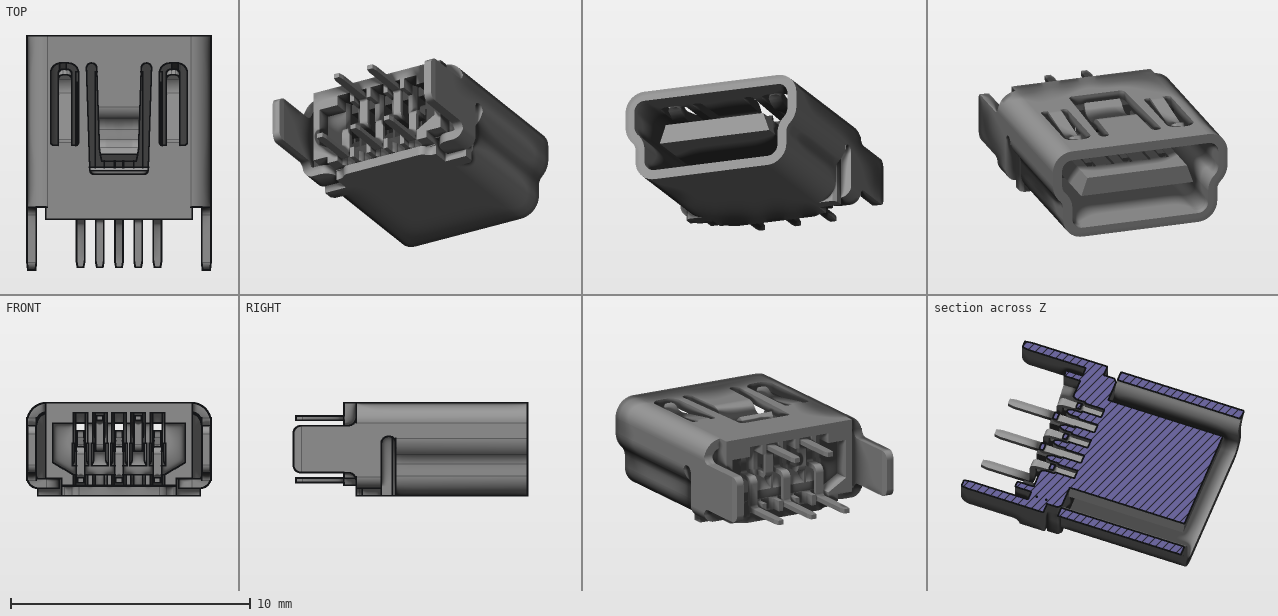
import cadquery as cq
import math


half_width = 3.85
height = 3.9
wall = 0.4
top_radius = 0.84
lower_half_width = 3.4
lower_radius = 0.85
step_bottom = 1.35
step_middle = 1.73
step_top = 2.42
shell_front_end = 5.51
shell_end = 7.17
flange_bottom = 0.31
flange_radius = 0.49
flange_inner = 2.5
flange_corner = 0.55
notch_end = 6.12
notch_top = 2.49
notch_radius = 0.29

lip_half_width = 2.39
lip_shoulder = 2.28
lip_tip_half_width = 1.69
lip_shoulder_depth = 6.91

blade_end = 9.8
blade_bottom = 0.97
blade_top = 2.94
blade_tip_radius = 0.33
blade_root_radius = 0.32
blade_tip_inset = 0.04
blade_tip_start = blade_end - blade_tip_radius

latch_cut_root = 1.36
latch_cut_end = 5.8
latch_cut_root_half = 1.36
latch_cut_end_half = 1.22
latch_cut_corner = 0.2
latch_root_half = 0.93
latch_tip_half = 0.81
latch_tip_end_half = 0.72
latch_tip_start = 4.8
latch_tip = 5.29
latch_dip = 0.44
latch_fall_start = 3.16
latch_fall_end = 3.55
latch_rise_start = 4.62
latch_rise_end = 5.11
latch_tip_rise = 0.5
latch_bend_radii = [0.22, 0.62, 0.49]

window_inner = 1.69
window_outer = 2.86
window_front = 1.15
window_end = 4.59
window_front_radius = 0.44
window_end_radius = 0.15
finger_inner = 1.98
finger_outer = 2.54
finger_tip_centre = 1.53
finger_valley = 2.03
finger_root = 4.41
finger_dip = 0.34
finger_tip_rise = 0.35
finger_bend_radii = [0.78, 0.39]
finger_tip_radius = 0.2

housing_front = shell_front_end
housing_end = 7.68
housing_half_width = 3.07
housing_shoulder = 0.74
housing_bottom = 0.44
lead_in = 0.15
housing_corner_gap = 0.1
recess_depth = 0.73
recess_half_width = 2.77
recess_top = 3.05
recess_side_bottom = 1.4
recess_floor = 0.89
recess_floor_half = 1.91
recess_back = housing_end - recess_depth

tongue_top_half_width = 2.2
tongue_bottom_half_width = 2.47
tongue_front = 0.39
tongue_bottom = 1.67
tongue_top = 2.45
groove_front = 1.52
groove_floor = 2.3

contact_count = 5
contact_pitch = 0.8
contact_width = 0.35
beam_width = 0.29
leg_depth = 7.3
lower_leg_depth = 7.4
beam_tip = 1.96
beam_tip_z = 2.37
beam_rise_top = 6.53
beam_rise_bottom = 6.57
beam_peak_z = 2.65
contact_thickness = 0.2
pin_end = 9.69
pin_taper_start = 9.42
pin_tip_half = 0.13
lower_pin_z = 0.66
upper_pin_z = 3.25
contact_shelf = 1.86
bend_radius = 0.1
channel_width = 0.61
channel_top = 3.48
channel_depth = 6.66
passage_width = 0.38
pocket_front_width = 0.51
pocket_width = 0.71
pocket_floor = 1.26
pocket_top = 2.205
pocket_depth = 6.37
foot_front = 7.01
foot_slope_start = 7.25
channel_slope_length = 0.2


def block(x0, x1, depth0, depth1, z0, z1):
    """Box between two X values, two depths and two heights."""
    size = (x1 - x0, depth1 - depth0, z1 - z0)
    return cq.Workplane("XY").box(*size, centered=False).translate((x0, -depth1, z0))


def section(depth):
    """Workplane in XZ at a given depth; extruding goes deeper."""
    return cq.Workplane("XZ", origin=(0, -depth, 0))


def side_profile(points, x0, x1):
    """Closed (depth, z) outline extruded from x0 to x1."""
    outline = [(-depth, z) for depth, z in points]
    return cq.Workplane("YZ", origin=(x0, 0, 0)).polyline(outline).close().extrude(x1 - x0)


def plan(points, z0, z1):
    """Closed (x, depth) outline extruded from z0 to z1."""
    outline = [(x, -depth) for x, depth in points]
    return cq.Workplane("XY", origin=(0, 0, z0)).polyline(outline).close().extrude(z1 - z0)


def mirrored_pair(solid):
    return solid.union(solid.mirror("YZ"))


def symmetric(half):
    """Complete an outline from its +X half."""
    return half + [(-x, v) for x, v in reversed(half)]


def bent_strip(path, thickness, radii, x0, x1):
    """Sheet strip whose centre line is a (depth, z) path, with one inner radius for each bend."""
    directions = []
    for (d0, z0), (d1, z1) in zip(path, path[1:]):
        directions.append(math.atan2(z1 - z0, d1 - d0))
    left, right = [], []
    for i, (depth, z) in enumerate(path):
        before = directions[max(i - 1, 0)]
        after = directions[min(i, len(directions) - 1)]
        normal = (before + after) / 2 + math.pi / 2
        reach = thickness / 2 / math.cos((after - before) / 2)
        dx, dz = reach * math.cos(normal), reach * math.sin(normal)
        left.append((depth + dx, z + dz))
        right.append((depth - dx, z - dz))
    strip = side_profile(left + right[::-1], x0, x1)
    for i, radius in enumerate(radii, start=1):
        turns_left = directions[i] > directions[i - 1]
        inner, outer = (left[i], right[i]) if turns_left else (right[i], left[i])
        for (depth, z), bend in ((inner, radius), (outer, radius + thickness)):
            corner = ((x0 + x1) / 2, -depth, z)
            strip = strip.edges("|X").edges(cq.NearestToPointSelector(corner)).fillet(bend)
    return strip


def mouth_half_outline():
    """Right half of the stepped mouth, from bottom centre to top centre."""
    step_angle = 2 * math.atan((half_width - lower_half_width) / (step_top - step_bottom))
    concave = (step_middle - step_bottom) / math.sin(step_angle)
    convex = (step_top - step_middle) / math.sin(step_angle)
    half = step_angle / 2
    flat_x = half_width - top_radius
    corner = math.sqrt(0.5)
    concave_mid = (lower_half_width + concave * (1 - math.cos(half)), step_bottom + concave * math.sin(half))
    convex_mid = (half_width - convex * (1 - math.cos(half)), step_top - convex * math.sin(half))
    step_join = lower_half_width + concave * (1 - math.cos(step_angle))
    low_x = lower_half_width - lower_radius
    return (
        section(0).moveTo(0, 0).lineTo(low_x, 0)
        .threePointArc((low_x + lower_radius * corner, lower_radius * (1 - corner)),
                       (lower_half_width, lower_radius))
        .lineTo(lower_half_width, step_bottom)
        .threePointArc(concave_mid, (step_join, step_middle))
        .threePointArc(convex_mid, (half_width, step_top))
        .lineTo(half_width, height - top_radius)
        .threePointArc((flat_x + top_radius * corner, height - top_radius * (1 - corner)), (flat_x, height))
        .lineTo(0, height)
    )


def make_mouth():
    """Hollow stepped tube that receives the plug."""
    outer = mouth_half_outline().mirrorY().extrude(shell_front_end)
    cavity = mouth_half_outline().mirrorY().offset2D(-wall).extrude(shell_front_end)
    return outer.cut(cavity)


def hood_solid(inset):
    """Rounded hood body behind the mouth, shrunk by inset on every side."""
    body = block(-half_width + inset, half_width - inset, shell_front_end, shell_end,
                 flange_bottom + inset, height - inset)
    body = body.edges("|Y and >Z").fillet(top_radius - inset)
    return body.edges("|Y and <Z").fillet(flange_radius - inset)


def make_hood():
    hood = hood_solid(0).cut(hood_solid(wall))
    opening = block(-flange_inner, flange_inner, shell_front_end, shell_end, 0, flange_bottom + wall)
    hood = hood.cut(opening)
    for x in (-flange_inner, flange_inner):
        rear_corner = cq.NearestToPointSelector((x, -shell_end, flange_bottom + wall / 2))
        hood = hood.edges("|Z").edges(rear_corner).fillet(flange_corner)
    notch = block(-half_width, half_width, shell_front_end, notch_end, 0, notch_top)
    return hood.cut(notch.edges("|X and >Z").fillet(notch_radius))


def make_roof_tail():
    return block(-housing_half_width, housing_half_width, shell_end, housing_end, height - wall, height)


def make_lip():
    """Bottom plate whose rear corners step in along S curves."""
    mid_x = (lip_shoulder + lip_tip_half_width) / 2
    mid_depth = (lip_shoulder_depth + shell_end) / 2
    lip = (
        cq.Workplane("XY").moveTo(0, -shell_front_end).lineTo(lip_half_width, -shell_front_end)
        .lineTo(lip_half_width, -lip_shoulder_depth).lineTo(lip_shoulder, -lip_shoulder_depth)
        .tangentArcPoint((mid_x, -mid_depth), relative=False)
        .tangentArcPoint((lip_tip_half_width, -shell_end), relative=False)
        .lineTo(0, -shell_end).close().extrude(wall)
    )
    return mirrored_pair(lip)


def make_blade():
    inner = half_width - wall
    outline = plan([
        (inner, notch_end), (half_width, notch_end), (half_width, blade_tip_start),
        (half_width - blade_tip_inset, blade_end), (inner + blade_tip_inset, blade_end),
        (inner, blade_tip_start),
    ], blade_bottom, blade_top)
    blade = outline.intersect(
        block(inner, half_width, notch_end, blade_end, blade_bottom, blade_top)
        .edges("|X and <Y").fillet(blade_tip_radius))
    for z, side in ((blade_top, 1), (blade_bottom, -1)):
        z_far = z + side * blade_root_radius
        web = block(inner, half_width, shell_end, shell_end + blade_root_radius, min(z, z_far), max(z, z_far))
        round_cut = (
            cq.Workplane("YZ", origin=(inner, -shell_end - blade_root_radius, z_far))
            .circle(blade_root_radius).extrude(wall))
        blade = blade.union(web.cut(round_cut))
    return mirrored_pair(blade)


def latch_cutout():
    cutout = plan(symmetric([(latch_cut_root_half, latch_cut_root), (latch_cut_end_half, latch_cut_end)]),
                  height - wall, height)
    cutout = cutout.edges("|Z and <Y").fillet(latch_cut_corner)
    radius = (latch_cut_root_half - latch_root_half) / 2
    centre = latch_cut_root_half - radius
    ends = (
        cq.Workplane("XY", origin=(0, 0, height - wall))
        .pushPoints([(-centre, -latch_cut_root), (centre, -latch_cut_root)]).circle(radius).extrude(wall))
    return cutout.union(ends)


def make_latch():
    top = height - wall / 2
    low = top - latch_dip
    path = [
        (latch_cut_root, top), (latch_fall_start, top), (latch_fall_end, low),
        (latch_rise_start, low), (latch_rise_end, low + latch_tip_rise),
    ]
    strip = bent_strip(path, wall, latch_bend_radii, -latch_root_half, latch_root_half)
    outline = plan(symmetric([
        (latch_root_half, latch_cut_root), (latch_tip_half, latch_tip_start), (latch_tip_end_half, latch_tip),
    ]), 0, height)
    return strip.intersect(outline)


def side_windows():
    window = block(window_inner, window_outer, window_front, window_end, height - wall, height)
    window = window.edges("|Z and >Y").fillet(window_front_radius)
    return mirrored_pair(window.edges("|Z and <Y").fillet(window_end_radius))


def make_fingers():
    top = height - wall / 2
    valley = top - finger_dip
    tip = valley + finger_tip_rise
    path = [(finger_tip_centre, tip), (finger_valley, valley), (finger_root, top), (window_end, top)]
    finger = bent_strip(path, wall, finger_bend_radii, finger_inner, finger_outer)
    for x in (finger_inner, finger_outer):
        tip_corner = cq.NearestToPointSelector((x, -finger_tip_centre, tip))
        finger = finger.edges(tip_corner).fillet(finger_tip_radius)
    return mirrored_pair(finger)


def make_housing():
    inner_top = height - wall
    corner = top_radius - wall + housing_corner_gap
    nose = block(-lower_half_width, lower_half_width, housing_front, notch_end, 0, inner_top)
    nose = nose.edges("|Y and >Z").fillet(corner)
    nose = nose.faces(">Y").edges("not <Z").chamfer(lead_in)
    core_half = half_width - wall
    core = block(-core_half, core_half, notch_end, recess_back, flange_bottom + wall, inner_top)
    core = core.edges("|Y and >Z").fillet(corner)
    rear = section(notch_end).polyline(symmetric([
        (lip_half_width, housing_bottom), (lip_half_width, housing_shoulder),
        (housing_half_width, housing_shoulder), (housing_half_width, inner_top),
    ])).close().extrude(housing_end - notch_end)
    sill = block(-lip_half_width, lip_half_width, notch_end, recess_back, wall, housing_bottom)
    recess = section(recess_back).polyline(symmetric([
        (recess_floor_half, recess_floor), (recess_half_width, recess_side_bottom),
        (recess_half_width, recess_top),
    ])).close().extrude(recess_depth)
    tongue = section(tongue_front).polyline(symmetric([
        (tongue_bottom_half_width, tongue_bottom), (tongue_top_half_width, tongue_top),
    ])).close().extrude(housing_front - tongue_front)
    return nose.union(core).union(rear).union(sill).cut(recess).union(tongue)


def stepped_channel(x, rear_width, front_width, limits, z0, z1):
    """Channel about x whose walls slope in where the wide rear meets the narrow front.

    The limits are the depths of the front end, the start of the slope and the rear end.
    """
    front_end, slope_start, rear_end = limits
    rear, front = rear_width / 2, front_width / 2
    slope_end = slope_start - channel_slope_length
    return plan(symmetric([
        (front, front_end), (front, slope_end), (rear, slope_start), (rear, rear_end),
    ]), z0, z1).translate((x, 0, 0))


def contact_channel(x):
    """All the openings that one contact needs in the housing."""
    notch = stepped_channel(x, channel_width, passage_width, (channel_depth, recess_back, housing_end),
                            contact_shelf, channel_top)
    foot = stepped_channel(x, channel_width, passage_width, (foot_front, foot_slope_start, housing_end),
                           housing_bottom, recess_floor)
    half = passage_width / 2
    passage = block(x - half, x + half, housing_front, recess_back, contact_shelf, recess_top)
    groove = block(x - half, x + half, groove_front, housing_front, groove_floor, tongue_top)
    pocket = side_profile([
        (recess_back, pocket_floor), (recess_back, pocket_top),
        (pocket_depth, pocket_top), (pocket_depth, contact_shelf),
    ], x - pocket_width / 2, x + pocket_width / 2)
    pocket = pocket.intersect(stepped_channel(
        x, pocket_width, pocket_front_width, (pocket_depth, recess_back, housing_end), 0, height))
    return notch.union(passage).union(groove).union(pocket).union(foot)


def make_contact(x, path):
    """Bent contact about x, narrow ahead of its leg and tapered at the pin tip."""
    half = contact_width / 2
    beam = beam_width / 2
    radii = [bend_radius] * (len(path) - 2)
    strip = bent_strip(path, contact_thickness, radii, -half, half)
    outline = plan(symmetric([
        (beam, 0), (beam, recess_back), (half, leg_depth), (half, pin_taper_start), (pin_tip_half, pin_end),
    ]), 0, height)
    return strip.intersect(outline).translate((x, 0, 0))


shelf_z = contact_shelf + contact_thickness / 2
lower_path = [
    (beam_tip, beam_tip_z), (beam_rise_top, beam_peak_z), (beam_rise_bottom, shelf_z),
    (lower_leg_depth, shelf_z), (lower_leg_depth, lower_pin_z), (pin_end, lower_pin_z),
]
upper_path = [
    (housing_front, shelf_z), (leg_depth, shelf_z),
    (leg_depth, upper_pin_z), (pin_end, upper_pin_z),
]

shell = make_mouth().union(make_hood()).union(make_roof_tail()).union(make_lip()).union(make_blade())
shell = shell.cut(latch_cutout()).cut(side_windows()).union(make_latch()).union(make_fingers())

housing = make_housing()
contacts = []
for index in range(contact_count):
    contact_x = (index - (contact_count - 1) / 2) * contact_pitch
    housing = housing.cut(contact_channel(contact_x))
    contacts.append(make_contact(contact_x, upper_path if index % 2 else lower_path))

result = shell.union(housing)
for contact in contacts:
    result = result.union(contact)